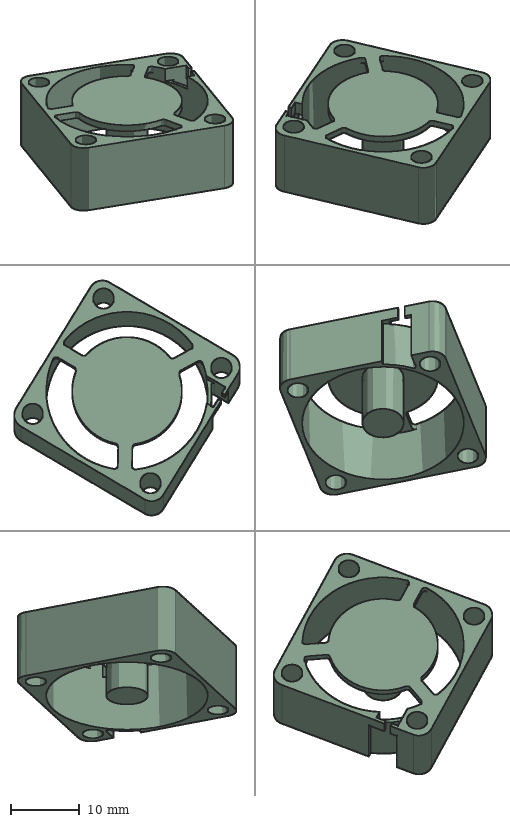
import cadquery as cq


side = 25.0
height = 10.2
corner_radius = 2.0
screw_hole_diameter = 3.0
screw_hole_spacing = 20.0

bore_radius = 11.75
disc_radius = 8.0
plate_thickness = 1.0
hub_radius = 3.0
strut_count = 3
strut_width = 2.1
strut_offset = -0.1
window_corner_radius = 0.5

pocket_left = -7.85
pocket_right = -4.4
chamber_right = -3.4
lip_thickness = 0.5
notch_depth = 2.0
rim_radius = 12.3
pocket_corner_radius = 0.3
slit_width = 1.0
slit_left = -6.85

half_side = side / 2
plate_bottom = height - plate_thickness
notch_bottom = height - notch_depth
pocket_back = half_side - lip_thickness


def cylinder(radius, bottom, length):
    """Cylinder on the bore axis with its seam toward -Y, in line with a strut."""
    solid = cq.Workplane("XY").workplane(offset=bottom).circle(radius).extrude(length)
    return solid.rotate((0, 0, 0), (0, 0, 1), -90)


def make_frame():
    frame = cq.Workplane("XY").rect(side, side).extrude(height)
    frame = frame.edges("|Z").fillet(corner_radius)
    screw_holes = (
        cq.Workplane("XY")
        .rect(screw_hole_spacing, screw_hole_spacing, forConstruction=True)
        .vertices()
        .circle(screw_hole_diameter / 2)
        .extrude(height)
    )
    return frame.cut(screw_holes)


def make_strut(index):
    strut = (
        cq.Workplane("XY")
        .workplane(offset=plate_bottom)
        .center(strut_offset, -half_side / 2)
        .rect(strut_width, half_side)
        .extrude(plate_thickness)
    )
    return strut.rotate((0, 0, 0), (0, 0, 1), index * 360 / strut_count)


def make_opening():
    """Through bore less the disc and struts, with rounded window corners in the plate."""
    opening = cylinder(bore_radius, 0, height)
    opening = opening.cut(cylinder(disc_radius, plate_bottom, plate_thickness))
    for index in range(strut_count):
        opening = opening.cut(make_strut(index))
    return opening.edges("|Z").edges(">Z").fillet(window_corner_radius)


def make_box(left, right, front, back, bottom, top):
    box = cq.Workplane("XY").box(right - left, back - front, top - bottom, centered=False)
    return box.translate((left, front, bottom))


def make_cable_exit():
    """Notch over the bore rim, a slit in the back lip, and an open-backed chamber below the lip."""
    notch = make_box(pocket_left, pocket_right, 0, pocket_back, notch_bottom, height)
    notch = notch.cut(cylinder(bore_radius, notch_bottom, notch_depth))
    slit = make_box(slit_left, slit_left + slit_width, pocket_back, half_side, notch_bottom, height)
    chamber = make_box(pocket_left, chamber_right, 0, half_side, 0, notch_bottom)
    chamber = chamber.cut(cylinder(rim_radius, 0, notch_bottom))
    chamber = chamber.edges("|Z and <Y").fillet(pocket_corner_radius)
    return notch.union(slit).union(chamber)


hub = cylinder(hub_radius, 0, plate_bottom)
result = make_frame().cut(make_opening()).union(hub).cut(make_cable_exit())